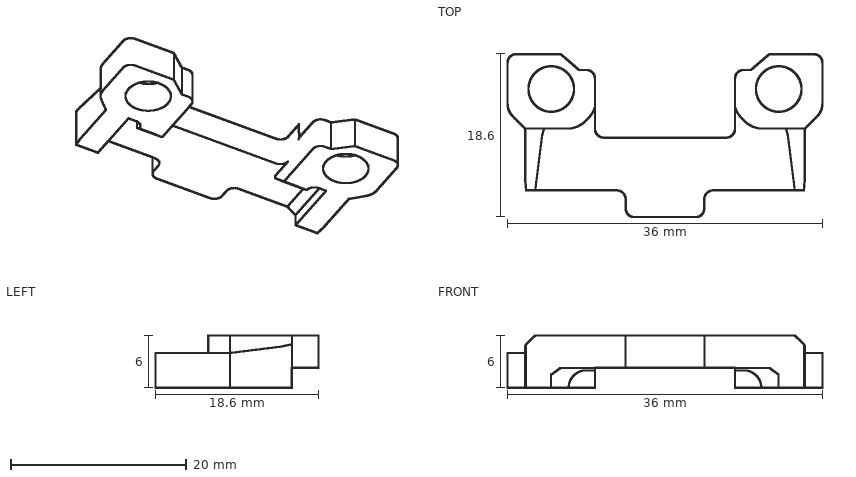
import cadquery as cq
import math

length = 36.0
depth = 18.65
height = 6.0
margin = 1.8

ear_height = 4.0
ear_left = -length / 2
ear_inner = -8.0
ear_front_y = 10.1
ear_chamfer_y = 12.15
ear_back_corner_x = -11.9
shoulder_x = -9.83
shoulder_y = 16.85
hole_x = -13.0
hole_y = 14.65
hole_diameter = 5.2
scoop_radius = 3.0
scoop_x = -11.2
scoop_flat = 0.32

bridge_front_y = 3.05
bridge_back_y = 9.1
bridge_underside = 2.3
bridge_left = -16.0
bridge_front_left = -15.88
end_taper_y = 4.3
tab_half_width = 4.5
small_radius = 1.0
large_radius = 2 * small_radius

slope_back_x = -13.82
slope_ridge_x = -14.05
slope_ridge_y = 9.32
slope_front_x = -14.85

leg_inner_x = -13.0
leg_wall_height = 1.5
leg_chamfer_x = -11.9
lug_left_x = ear_inner - small_radius - large_radius
lug_front_y = ear_front_y - small_radius - large_radius
lug_chamfer = 2.0


def round_edge(solid, x, y, radius):
    """Round the vertical edge that stands at (x, y)."""
    reach = 0.05
    box = cq.selectors.BoxSelector(
        (x - reach, y - reach, -margin), (x + reach, y + reach, height + margin)
    )
    return solid.edges("|Z").edges(box).fillet(radius)


def make_blank():
    """Left half of the plan outline, extruded to full height."""
    outline = [
        (0, 0),
        (-tab_half_width, 0),
        (-tab_half_width, bridge_front_y),
        (bridge_front_left, bridge_front_y),
        (bridge_left, end_taper_y),
        (bridge_left, ear_front_y),
        (ear_left, ear_chamfer_y),
        (ear_left, depth),
        (ear_back_corner_x, depth),
        (shoulder_x, shoulder_y),
        (ear_inner, shoulder_y),
        (ear_inner, bridge_back_y),
        (0, bridge_back_y),
    ]
    blank = cq.Workplane("XY").polyline(outline).close().extrude(height)
    rounded_corners = [
        (-tab_half_width, 0, small_radius),
        (-tab_half_width, bridge_front_y, small_radius),
        (ear_left, ear_chamfer_y, large_radius),
        (ear_left, depth, small_radius),
        (ear_inner, shoulder_y, small_radius),
        (ear_inner, bridge_back_y, small_radius),
    ]
    for x, y, radius in rounded_corners:
        blank = round_edge(blank, x, y, radius)
    return blank


def make_ear_clearance():
    """Space above the ear; two 45 degree arcs and a flat form its inner front corner."""
    left = ear_left - margin
    long_leg = scoop_radius * math.sqrt(0.5)
    short_leg = scoop_radius - long_leg
    first_end = (scoop_x + long_leg, ear_front_y + short_leg)
    flat_end = (first_end[0] + scoop_flat, first_end[1] + scoop_flat)
    second_end = (flat_end[0] + short_leg, flat_end[1] + long_leg)
    return (
        cq.Workplane("XY", origin=(0, 0, ear_height))
        .moveTo(left, ear_front_y)
        .lineTo(scoop_x, ear_front_y)
        .radiusArc(first_end, -scoop_radius)
        .lineTo(*flat_end)
        .radiusArc(second_end, -scoop_radius)
        .lineTo(second_end[0], depth + margin)
        .lineTo(left, depth + margin)
        .close()
        .extrude(height)
    )


def make_half_space(a, b, c):
    """Large block whose base lies on the plane through three points."""
    a, b, c = cq.Vector(*a), cq.Vector(*b), cq.Vector(*c)
    plane = cq.Plane(origin=a, xDir=b - a, normal=(b - a).cross(c - a))
    return cq.Workplane(plane).rect(2 * length, 2 * length).extrude(length)


def make_end_slopes():
    """Material removed by the two facets at the bridge's outer end."""
    low_corner = (bridge_left, ear_front_y, ear_height)
    ridge = (slope_ridge_x, slope_ridge_y, height)
    front = (slope_front_x, bridge_front_y, height)
    back = (slope_back_x, ear_front_y, height)
    slopes = make_half_space(low_corner, front, ridge).union(
        make_half_space(low_corner, ridge, back)
    )
    bridge_end = cq.Workplane("XY").box(
        length / 2, ear_front_y, height + margin, centered=False
    ).translate((ear_left, 0, 0))
    return slopes.intersect(bridge_end)


def make_lug():
    """Rounded block under the ear's inner corner, undercut at its front."""
    lug = (
        cq.Workplane("XY")
        .moveTo(lug_left_x - small_radius, ear_front_y)
        .radiusArc((lug_left_x, ear_front_y - small_radius), small_radius)
        .radiusArc((lug_left_x + large_radius, lug_front_y), -large_radius)
        .lineTo(ear_inner, lug_front_y)
        .lineTo(ear_inner, ear_front_y)
        .close()
        .extrude(bridge_underside)
    )
    undercut = (
        cq.Workplane("YZ", origin=(ear_left, 0, 0))
        .polyline([
            (lug_front_y, 0),
            (lug_front_y + lug_chamfer, 0),
            (lug_front_y, lug_chamfer),
        ])
        .close()
        .extrude(length / 2)
    )
    return lug.cut(undercut)


def make_underside_pocket():
    """Space below the bridge, between the leg and the middle of the part."""
    pocket = (
        cq.Workplane("XZ", origin=(0, ear_front_y, 0))
        .polyline([
            (0, 0),
            (leg_inner_x, 0),
            (leg_inner_x, leg_wall_height),
            (leg_chamfer_x, bridge_underside),
            (0, bridge_underside),
        ])
        .close()
        .extrude(ear_front_y + margin)
    )
    return pocket.cut(make_lug())


hole = cq.Workplane("XY").center(hole_x, hole_y).circle(hole_diameter / 2).extrude(height)

left_half = (
    make_blank()
    .cut(make_ear_clearance())
    .cut(make_end_slopes())
    .cut(make_underside_pocket())
    .cut(hole)
)
result = left_half.union(left_half.mirror("YZ")).clean()